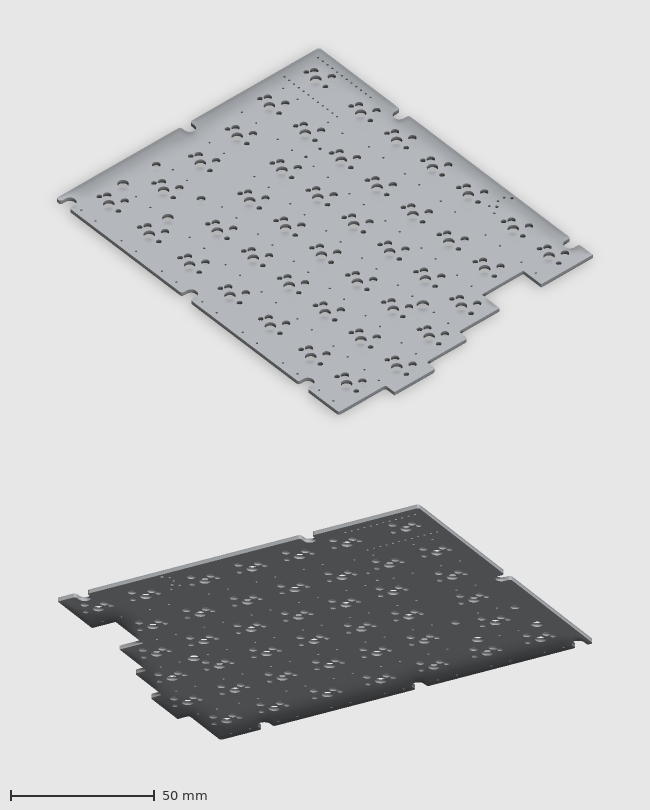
import cadquery as cq
import math


BOARD_LENGTH = 154.8
UNITS_ACROSS = 8.125
UNIT = BOARD_LENGTH / UNITS_ACROSS
HALF_KEY = UNIT / 2
STEP = UNIT / 15
THICKNESS = 1.5

RIM = UNIT / 8
EDGE_TO_KEY = RIM + HALF_KEY

BOTTOM_ROW_Y = EDGE_TO_KEY
SHIFT_ROW_Y = BOTTOM_ROW_Y + UNIT
HOME_ROW_Y = SHIFT_ROW_Y + UNIT
UPPER_ROW_Y = HOME_ROW_Y + UNIT
NUMBER_ROW_Y = UPPER_ROW_Y + UNIT
FUNCTION_ROW_Y = NUMBER_ROW_Y + 1.125 * UNIT
BOARD_WIDTH = FUNCTION_ROW_Y + EDGE_TO_KEY


def key_centres(y, indent, gaps):
    """Centres of one row of keys; the indent and the gaps are in key units."""
    x = EDGE_TO_KEY + indent * UNIT
    centres = [(x, y)]
    for gap in gaps:
        x += gap * UNIT
        centres.append((x, y))
    return centres


BOTTOM_KEYS = key_centres(BOTTOM_ROW_Y, 0.125, [1.125] * 5 + [1])
SHIFT_KEYS = key_centres(SHIFT_ROW_Y, 0.5, [1.5] + [1] * 5)
HOME_KEYS = key_centres(HOME_ROW_Y, 0.375, [1.375] + [1] * 5)
UPPER_KEYS = key_centres(UPPER_ROW_Y, 0.25, [1.25] + [1] * 5)
NUMBER_KEYS = key_centres(NUMBER_ROW_Y, 0, [1] * 6)
FUNCTION_KEYS = key_centres(FUNCTION_ROW_Y, 0, [1.25, 1, 1, 1, 1.25, 1])
ALL_KEYS = BOTTOM_KEYS + SHIFT_KEYS + HOME_KEYS + UPPER_KEYS + NUMBER_KEYS + FUNCTION_KEYS

CORNER_RADIUS = 1.0
EDGE_RELIEF = 0.2
TAB_X = BOARD_LENGTH
LOWER_X = TAB_X - UNIT / 4
UPPER_X = LOWER_X - UNIT / 4
CUTOUT_X = UPPER_X - HALF_KEY
TAB_BOTTOM_Y = SHIFT_ROW_Y - HALF_KEY + EDGE_RELIEF
TAB_TOP_Y = SHIFT_ROW_Y + HALF_KEY
LOWER_TOP_Y = HOME_ROW_Y + HALF_KEY
CUTOUT_BOTTOM_Y = NUMBER_ROW_Y - HALF_KEY - EDGE_RELIEF
CUTOUT_TOP_Y = NUMBER_ROW_Y + HALF_KEY

CORNERS = [
    ((0, 0), True),
    ((LOWER_X, 0), True),
    ((LOWER_X, TAB_BOTTOM_Y), True),
    ((TAB_X, TAB_BOTTOM_Y), False),
    ((TAB_X, TAB_TOP_Y), True),
    ((LOWER_X, TAB_TOP_Y), True),
    ((LOWER_X, LOWER_TOP_Y), True),
    ((UPPER_X, LOWER_TOP_Y), True),
    ((UPPER_X, CUTOUT_BOTTOM_Y), False),
    ((CUTOUT_X, CUTOUT_BOTTOM_Y), False),
    ((CUTOUT_X, CUTOUT_TOP_Y), False),
    ((UPPER_X, CUTOUT_TOP_Y), False),
    ((UPPER_X, BOARD_WIDTH), False),
    ((0, BOARD_WIDTH), True),
]


def blank_board():
    """Undrilled plate with its rounded corners."""
    points = [point for point, rounded in CORNERS]
    plate = cq.Workplane("XY").polyline(points).close().extrude(THICKNESS)
    for (x, y), rounded in CORNERS:
        if rounded:
            corner = cq.selectors.NearestToPointSelector((x, y, THICKNESS / 2))
            plate = plate.edges("|Z").edges(corner).fillet(CORNER_RADIUS)
    return plate


MOUNT_HOLE = 4.3
EDGE_NOTCH_WIDTH = 4.6
SIDE_NOTCH_WIDTH = MOUNT_HOLE
NOTCH_DEPTH = 4.6
MOUTH_RADIUS = CORNER_RADIUS

FIRST_NOTCH_X = 4.6
SECOND_NOTCH_X = 69.0
THIRD_NOTCH_X = (BOTTOM_KEYS[-2][0] + BOTTOM_KEYS[-1][0]) / 2
TOP_LEFT_NOTCH_X = (FUNCTION_KEYS[1][0] + FUNCTION_KEYS[2][0]) / 2
TOP_RIGHT_NOTCH_X = FUNCTION_KEYS[-1][0]
MOUNT_HOLE_X = NUMBER_KEYS[-1][0]


def notch(x, y, width, turn):
    """Round-ended notch cutter that opens at (x, y); it points up before the turn in degrees."""
    half = width / 2
    mouth = half + MOUTH_RADIUS
    arc_x = mouth - MOUTH_RADIUS * math.sqrt(0.5)
    arc_y = MOUTH_RADIUS - MOUTH_RADIUS * math.sqrt(0.5)
    return (
        cq.Workplane("XY")
        .moveTo(-mouth, 0)
        .threePointArc((-arc_x, arc_y), (-half, MOUTH_RADIUS))
        .lineTo(-half, NOTCH_DEPTH - half)
        .threePointArc((0, NOTCH_DEPTH), (half, NOTCH_DEPTH - half))
        .lineTo(half, MOUTH_RADIUS)
        .threePointArc((arc_x, arc_y), (mouth, 0))
        .close()
        .extrude(THICKNESS)
        .rotate((0, 0, 0), (0, 0, 1), turn)
        .translate((x, y, 0))
    )


def cut_notches(plate):
    for x in (FIRST_NOTCH_X, SECOND_NOTCH_X, THIRD_NOTCH_X):
        plate = plate.cut(notch(x, 0, EDGE_NOTCH_WIDTH, 0))
    for x in (TOP_LEFT_NOTCH_X, TOP_RIGHT_NOTCH_X):
        plate = plate.cut(notch(x, BOARD_WIDTH, EDGE_NOTCH_WIDTH, 180))
    return plate.cut(notch(0, LOWER_TOP_Y, SIDE_NOTCH_WIDTH, -90))


def drill(plate, points, diameter):
    """Drill equal round holes through the plate."""
    pins = cq.Workplane("XY").pushPoints(points).circle(diameter / 2).extrude(THICKNESS)
    return plate.cut(pins)


def shifted(points, dx, dy):
    return [(x + dx, y + dy) for x, y in points]


STEM_HOLE = 4.0
CONTACT_HOLE = 3.0
SIDE_PEG_HOLE = 2.0


def drill_switches(plate):
    low_contacts = shifted(ALL_KEYS, -3 * STEP, 2 * STEP)
    high_contacts = shifted(ALL_KEYS, 2 * STEP, 4 * STEP)
    side_pegs = shifted(ALL_KEYS, -4 * STEP, 0) + shifted(ALL_KEYS, 4 * STEP, 0)
    plate = drill(plate, ALL_KEYS, STEM_HOLE)
    plate = drill(plate, low_contacts + high_contacts, CONTACT_HOLE)
    return drill(plate, side_pegs, SIDE_PEG_HOLE)


STABILIZER_REACH = 0.625 * UNIT
STABILIZER_SMALL_HOLE = 3.1
STABILIZER_SMALL_RISE = 7.0
STABILIZER_LARGE_HOLE = 4.0
STABILIZER_LARGE_DROP = 8.4


def drill_stabilizer(plate):
    wide_key = SHIFT_KEYS[:1]
    legs = shifted(wide_key, -STABILIZER_REACH, 0) + shifted(wide_key, STABILIZER_REACH, 0)
    plate = drill(plate, shifted(legs, 0, STABILIZER_SMALL_RISE), STABILIZER_SMALL_HOLE)
    return drill(plate, shifted(legs, 0, -STABILIZER_LARGE_DROP), STABILIZER_LARGE_HOLE)


LEAD_HOLE = 0.82
DIODE_DROP = 9.5
LOW_DIODE_DROP = 11.8
LAST_DIODE_SHIFT = 2 * STEP


def drill_diodes(plate):
    regular_keys = BOTTOM_KEYS + SHIFT_KEYS[:-1] + HOME_KEYS + UPPER_KEYS + NUMBER_KEYS + FUNCTION_KEYS[2:]
    diodes = shifted(regular_keys, 0, -DIODE_DROP)
    diodes += shifted(SHIFT_KEYS[-1:], -LAST_DIODE_SHIFT, -DIODE_DROP)
    diodes += shifted(FUNCTION_KEYS[:2], 0, -LOW_DIODE_DROP)
    leads = shifted(diodes, -3 * STEP, 0) + shifted(diodes, 3 * STEP, 0)
    return drill(plate, leads, LEAD_HOLE)


HEADER_PINS = 12
HEADER_PITCH = 2 * STEP
HEADER_X = 3.7
HEADER_LOWER_Y = 102.2
HEADER_UPPER_Y = 117.6


def drill_header(plate):
    columns = [HEADER_X + i * HEADER_PITCH for i in range(HEADER_PINS)]
    pins = [(x, y) for x in columns for y in (HEADER_LOWER_Y, HEADER_UPPER_Y)]
    return drill(plate, pins, LEAD_HOLE)


RESET_HOLE = 1.3
RESET_PINS = [(40.5, 80.0), (40.5, 86.5)]

JACK_PEG_HOLE = 1.2
JACK_PEGS = [(104.2, 112.8), (104.2, 119.8)]
JACK_PIN_HOLE = 1.0
JACK_PINS = [(102.2, 111.1), (102.2, 115.2), (102.2, 118.0), (106.2, 109.9)]

board = cut_notches(blank_board())
board = drill(board, [(MOUNT_HOLE_X, LOWER_TOP_Y)], MOUNT_HOLE)
board = drill_switches(board)
board = drill_stabilizer(board)
board = drill_diodes(board)
board = drill_header(board)
board = drill(board, RESET_PINS, RESET_HOLE)
board = drill(board, JACK_PEGS, JACK_PEG_HOLE)
board = drill(board, JACK_PINS, JACK_PIN_HOLE)
result = board